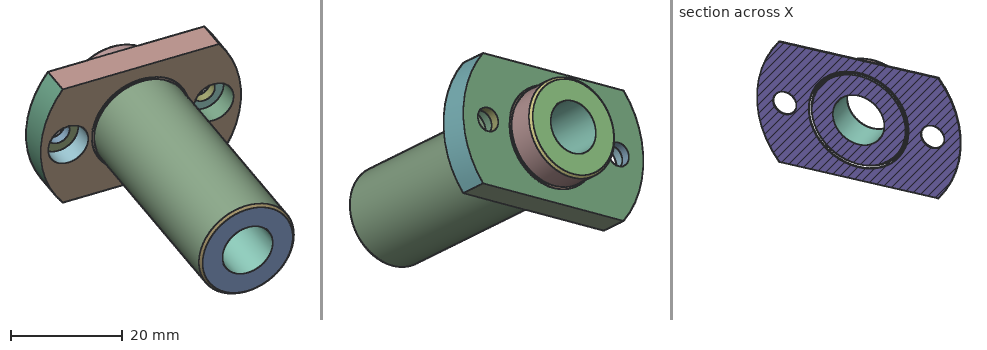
import cadquery as cq

length = 55.0
tube_diameter = 19.0
bore_diameter = 10.0
end_chamfer = 0.5

flange_diameter = 40.0
flange_height = 25.0
flange_thickness = 6.0
flange_start = 6.0
hole_diameter = 4.5
hole_spacing = 29.0
counterbore_diameter = 8.0
counterbore_depth = 4.0

neck_width = 0.35
neck_depth = 0.3
flange_relief_diameter = 19.5
flange_relief_depth = 0.3

flange_end = flange_start + flange_thickness
neck_diameter = tube_diameter - 2 * neck_depth


def cylinder_along_x(start, end, diameter):
    """Solid cylinder on the X axis between two X positions."""
    return cq.Workplane("YZ").workplane(offset=start).circle(diameter / 2).extrude(end - start)


def make_tube():
    return cylinder_along_x(0, length, tube_diameter).faces("<X or >X").chamfer(end_chamfer)


def make_flange():
    disc = cylinder_along_x(flange_start, flange_end, flange_diameter)
    flats = cq.Workplane("XY").box(length, flange_diameter, flange_height).translate((length / 2, 0, 0))
    return disc.intersect(flats)


def make_relief(start, end):
    """Ring that cuts down to the neck diameter and out into the flange."""
    ring = cylinder_along_x(start, end, flange_relief_diameter)
    return ring.cut(cylinder_along_x(start, end, neck_diameter))


body = make_tube().union(make_flange())
body = body.cut(cylinder_along_x(0, length, bore_diameter))

body = body.cut(make_relief(flange_start - neck_width, flange_start + flange_relief_depth))
body = body.cut(make_relief(flange_end - flange_relief_depth, flange_end + neck_width))

for side in (-1, 1):
    hole = cylinder_along_x(flange_start, flange_end, hole_diameter)
    counterbore = cylinder_along_x(flange_end - counterbore_depth, flange_end, counterbore_diameter)
    body = body.cut(hole.union(counterbore).translate((0, side * hole_spacing / 2, 0)))

result = body